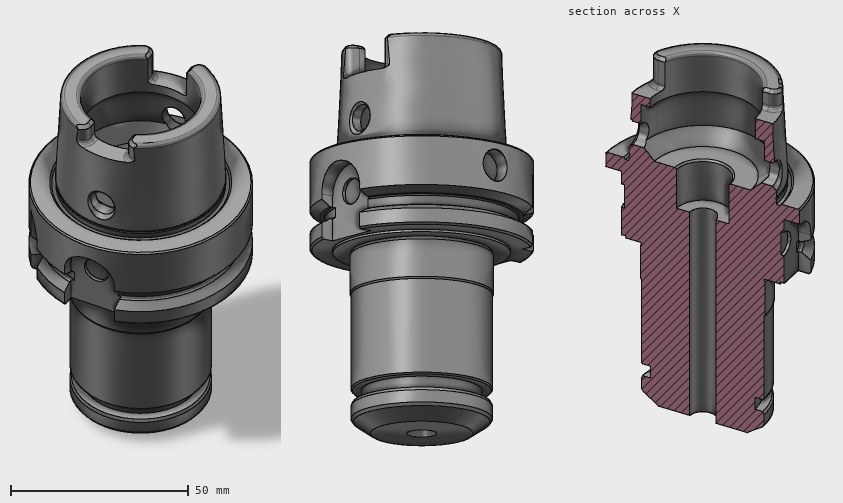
import cadquery as cq
import math


total_length = 111
taper_top = 32.0
nose_bottom = taper_top - total_length

taper_base_r = 48.1 / 2
taper_base_z = 1.9
taper_slope = 0.05
taper_top_r = taper_base_r - taper_slope * (taper_top - taper_base_z)
rim_round = 1.1

undercut_r = 23.8
undercut_z = 1.3
neck_r = 24.0
neck_top_z = 1.0
face_recess_r = 25.1
face_recess_depth = 0.5

flange_r = 31.5
flange_bottom = -26.0
flange_top_chamfer = 0.4
flange_bottom_chamfer = 0.5
groove_floor_r = 27.3
groove_lip_r = 28.6
groove_corner_round = 0.4
groove_angle = math.radians(30)
groove_lip_drop = (flange_r - groove_lip_r) * math.tan(groove_angle)
groove_top_z = -14.5
groove_bottom_z = -21.3
seat_r = 25.1
seat_bottom = -26.6

collar_r = 40.5 / 2
collar_bottom = -38.4
collar_chamfer = 0.9
collar_chamfer_width = 0.3
shank_r = 40 / 2
shank_top = -39.0
shank_bottom = -66.6
shank_chamfer = 0.4
nose_groove_r = 34.0 / 2
nose_top = -70.4
nose_top_chamfer = 0.9
nose_top_chamfer_width = 0.4
nose_side_bottom = -74.8
nose_round_bottom = -75.7
nose_cone_r = 19.3
nose_end_r = 14.4

bore_r = 34.0 / 2
clamp_shoulder_z = 19.0
clamp_groove_r = 20.0
bore_floor_r = 15.7
bore_floor_z = 1.7
tube_bore_r = 16.9 / 2
tube_bore_chamfer = 0.5
tube_bore_depth = 13.3
through_hole_d = 8.4

drive_slot_width = 12.4
front_slot_depth = 6.2
back_slot_depth = 10.0
slot_flare_r = 2.8
slot_flare_start = 18.0
slot_floor_round = 1.3
slot_lip_chamfer = 1.0
lip_chamfer_angle = 45

clamp_hole_d = 7.5
clamp_hole_z = 8.9
clamp_hole_mouth_r = 9.4 / 2
clamp_hole_mouth_offset = 23.6

keyway_width = 16.0
keyway_center_z = -13.0
keyway_floor = 26.4
keyway_dimple_d = 7.5
keyway_dimple_depth = 1.0
notch_wall = 20.1
notch_r = 7.5
notch_center_z = -12.1
chip_hole_d = 9.0
chip_hole_z = -7.0
chip_hole_depth = 4.5
chip_hole_mouth_r = 4.7

selection_margin = 0.1
tolerance = 1.11e-06


def revolve(points):
    """Solid of revolution about Z from (radius, height) points."""
    return cq.Workplane("XZ").polyline(points).close().revolve(360, (0, 0), (0, 1))


def make_body():
    """Outer turned shape: taper, flange, shank and nose, with the groove corners rounded."""
    body = revolve([
        (0, taper_top),
        (taper_top_r, taper_top),
        (taper_base_r, taper_base_z),
        (undercut_r, undercut_z),
        (neck_r, neck_top_z),
        (neck_r, -face_recess_depth),
        (face_recess_r, -face_recess_depth),
        (face_recess_r + face_recess_depth, 0),
        (flange_r - flange_top_chamfer, 0),
        (flange_r, -flange_top_chamfer),
        (flange_r, groove_top_z),
        (groove_lip_r, groove_top_z - groove_lip_drop),
        (groove_floor_r, groove_top_z - groove_lip_drop),
        (groove_floor_r, groove_bottom_z + groove_lip_drop),
        (groove_lip_r, groove_bottom_z + groove_lip_drop),
        (flange_r, groove_bottom_z),
        (flange_r, flange_bottom + flange_bottom_chamfer),
        (flange_r - flange_bottom_chamfer, flange_bottom),
        (seat_r, flange_bottom),
        (seat_r, seat_bottom),
        (collar_r - collar_chamfer_width, seat_bottom),
        (collar_r, seat_bottom - collar_chamfer),
        (collar_r, collar_bottom),
        (shank_r, shank_top),
        (shank_r, shank_bottom + shank_chamfer),
        (shank_r - shank_chamfer, shank_bottom),
        (nose_groove_r, shank_bottom),
        (nose_groove_r, nose_top),
        (shank_r - nose_top_chamfer_width, nose_top),
        (shank_r, nose_top - nose_top_chamfer),
        (shank_r, nose_side_bottom),
        (nose_cone_r, nose_round_bottom),
        (nose_end_r, nose_bottom),
        (0, nose_bottom),
    ])
    circles = body.edges("%CIRCLE")
    groove_corners = circles.filter(lambda edge: abs(edge.radius() - groove_floor_r) < tolerance)
    return groove_corners.fillet(groove_corner_round)


def make_bore():
    """Cutter for the stepped bore that opens at the taper end."""
    tube_bottom = bore_floor_z - tube_bore_depth
    return revolve([
        (0, taper_top),
        (bore_r, taper_top),
        (bore_r, clamp_shoulder_z),
        (clamp_groove_r, clamp_shoulder_z),
        (clamp_groove_r, bore_floor_z + clamp_groove_r - bore_floor_r),
        (bore_floor_r, bore_floor_z),
        (tube_bore_r + tube_bore_chamfer, bore_floor_z),
        (tube_bore_r, bore_floor_z - tube_bore_chamfer),
        (tube_bore_r, tube_bottom),
        (0, tube_bottom),
    ])


def make_drive_slot(depth):
    """Cutter for the -Y rim slot: flared wall ends, rounded floor corners and a chamfered lip."""
    half = drive_slot_width / 2
    flare_end = slot_flare_start + slot_flare_r
    corner = slot_flare_r * (1 - math.sqrt(0.5))
    outer = taper_base_r + slot_flare_r
    wide = half + 2 * slot_flare_r
    outline = (
        cq.Workplane("XY", origin=(0, 0, taper_top - depth))
        .moveTo(-half, 0)
        .lineTo(half, 0)
        .lineTo(half, -slot_flare_start)
        .threePointArc((half + corner, corner - flare_end), (half + slot_flare_r, -flare_end))
        .lineTo(wide, -flare_end)
        .lineTo(wide, -outer)
        .lineTo(-wide, -outer)
        .lineTo(-wide, -flare_end)
        .lineTo(-half - slot_flare_r, -flare_end)
        .threePointArc((-half - corner, corner - flare_end), (-half, -slot_flare_start))
        .close()
    )
    cutter = outline.extrude(depth)
    floor_z = taper_top - depth
    wall_foot = cq.selectors.BoxSelector(
        (-wide, -flare_end - selection_margin, floor_z - selection_margin),
        (wide, -selection_margin, floor_z + selection_margin),
    )
    lip_chamfer = outline.translate((0, 0, depth - slot_lip_chamfer)).toPending()
    lip_chamfer = lip_chamfer.extrude(slot_lip_chamfer, taper=-lip_chamfer_angle)
    return cutter.edges(wall_foot).fillet(slot_floor_round).union(lip_chamfer)


def make_keyway():
    """Cutter for the -Y keyway: round top, open through the flange underside."""
    length = flange_r - keyway_floor
    sketch = cq.Workplane("XZ", origin=(0, -keyway_floor, 0))
    round_top = sketch.center(0, keyway_center_z).circle(keyway_width / 2).extrude(length)
    leg_height = keyway_center_z - flange_bottom
    leg = sketch.center(0, keyway_center_z - leg_height / 2).rect(keyway_width, leg_height).extrude(length)
    return round_top.union(leg)


def make_keyway_dimple():
    """Cutter for the shallow round dimple in the keyway floor."""
    return (
        cq.Workplane("XZ", origin=(0, keyway_dimple_depth - keyway_floor, keyway_center_z))
        .circle(keyway_dimple_d / 2)
        .extrude(keyway_dimple_depth)
    )


def make_corner_notch():
    """Cutter for the notch on the -X, -Y corner of the flange."""
    center_x = -notch_wall - notch_r
    diagonal = notch_r * math.sqrt(0.5)
    return (
        cq.Workplane("XZ", origin=(0, -notch_wall, 0))
        .moveTo(-notch_wall, flange_bottom)
        .lineTo(-notch_wall, notch_center_z)
        .threePointArc((center_x + diagonal, notch_center_z + diagonal), (center_x, notch_center_z + notch_r))
        .lineTo(-flange_r, notch_center_z + notch_r)
        .lineTo(-flange_r, flange_bottom)
        .close()
        .extrude(flange_r - notch_wall)
    )


def make_mouth(hole_r, mouth_r, mouth_offset):
    """45-degree countersink on the -Y side, of radius mouth_r at mouth_offset from the Z axis."""
    depth = 2 * (mouth_r - hole_r)
    start = mouth_offset - depth / 2
    cone = cq.Solid.makeCone(hole_r, hole_r + depth, depth, cq.Vector(0, -start, 0), cq.Vector(0, -1, 0))
    return cq.Workplane(obj=cone)


def make_clamp_hole():
    """Cutter for the countersunk hole through the -Y wall of the taper."""
    hole_r = clamp_hole_d / 2
    hole = cq.Workplane("XZ").circle(hole_r).extrude(flange_r)
    mouth = make_mouth(hole_r, clamp_hole_mouth_r, clamp_hole_mouth_offset)
    return hole.union(mouth).translate((0, 0, clamp_hole_z))


def make_chip_hole():
    """Cutter for the blind, countersunk hole on the -X side of the flange."""
    hole_r = chip_hole_d / 2
    floor = cq.Workplane("XZ", origin=(0, chip_hole_depth - flange_r, 0))
    hole = floor.circle(hole_r).extrude(chip_hole_depth)
    mouth = make_mouth(hole_r, chip_hole_mouth_r, flange_r)
    cutter = hole.union(mouth).rotate((0, 0, 0), (0, 0, 1), -90)
    return cutter.translate((0, 0, chip_hole_z))


def both_sides(cutter):
    """The cutter together with its copy turned half round the Z axis."""
    return cutter.union(cutter.rotate((0, 0, 0), (0, 0, 1), 180))


through_hole = (
    cq.Workplane("XY", origin=(0, 0, nose_bottom))
    .circle(through_hole_d / 2)
    .extrude(total_length)
)

result = make_body().cut(make_bore()).cut(through_hole)
result = result.faces(">Z").edges().fillet(rim_round)
result = result.cut(make_drive_slot(front_slot_depth))
result = result.cut(make_drive_slot(back_slot_depth).rotate((0, 0, 0), (0, 0, 1), 180))
result = result.cut(both_sides(make_clamp_hole()))
result = result.cut(both_sides(make_keyway()))
result = result.cut(both_sides(make_keyway_dimple()))
result = result.cut(make_corner_notch())
result = result.cut(make_chip_hole())